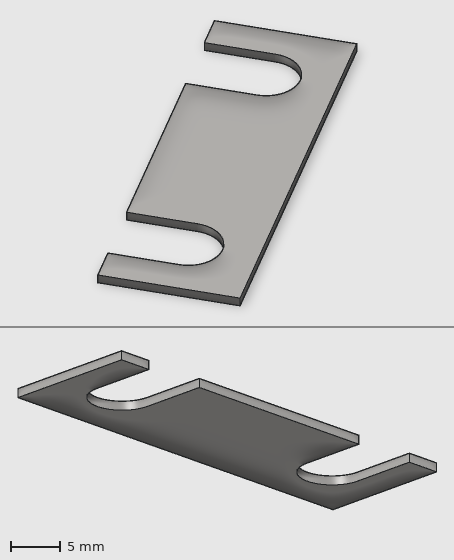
import cadquery as cq

length = 45.0
width = length / 3
thickness = 1.0

slot_width = 7.2
slot_radius = slot_width / 2
slot_spacing = length * 2 / 3
open_edge_x = -width / 2
arc_center_x = 0.0


def open_slot(center_y):
    """Through cutter running from the open edge to a semicircular end."""
    return (
        cq.Workplane("XY")
        .moveTo(open_edge_x, center_y - slot_radius)
        .lineTo(arc_center_x, center_y - slot_radius)
        .threePointArc(
            (arc_center_x + slot_radius, center_y),
            (arc_center_x, center_y + slot_radius),
        )
        .lineTo(open_edge_x, center_y + slot_radius)
        .close()
        .extrude(thickness)
    )


result = cq.Workplane("XY").box(width, length, thickness, centered=(True, True, False))
for side in (-1, 1):
    result = result.cut(open_slot(side * slot_spacing / 2))